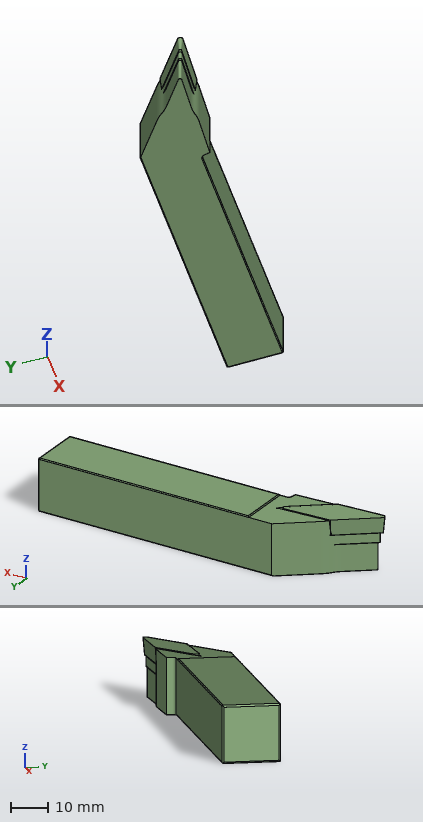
import cadquery as cq
import math

length = 98.3
shank_size = 16.0
shank_start_x = 31.3
long_edge_chamfer = 0.3
end_chamfer = 0.5

head_drop = 0.3
head_end_x = 27.9
heel_blend_x = 28.2
heel_blend_y = -0.8
heel_blend_end_x = 28.9

insert_width = 9.5
insert_thickness = 4.8
relief_angle = 5.0
nose_radius = 0.8
nose_centre_y = -3.0
front_edge_angle = 3.0
point_angle = 35.0
side_edge_angle = front_edge_angle + point_angle

seat_thickness = 2.95
seat_inset = 0.6
pedestal_inset = 0.8
support_nose_radius = 0.5
blend_start = 13.6
blend_length = 5.3

insert_bottom_z = shank_size - insert_thickness
seat_bottom_z = insert_bottom_z - seat_thickness
head_top_z = shank_size - head_drop
rhombus_side = insert_width / math.sin(math.radians(point_angle))
axis_angle = math.radians(front_edge_angle + point_angle / 2)
half_point = math.radians(point_angle / 2)
nose_distance = nose_radius / math.sin(half_point)
apex_x = nose_radius - nose_distance * math.cos(axis_angle)
apex_y = nose_centre_y - nose_distance * math.sin(axis_angle)


def front_point(along, inset=0.0):
    """Point at a distance along the front cutting edge, moved inward by inset."""
    angle = math.radians(front_edge_angle)
    return (
        apex_x + along * math.cos(angle) - inset * math.sin(angle),
        apex_y + along * math.sin(angle) + inset * math.cos(angle),
    )


def side_point(along, inset=0.0):
    """Point at a distance along the side cutting edge, moved inward by inset."""
    angle = math.radians(side_edge_angle)
    return (
        apex_x + along * math.cos(angle) + inset * math.sin(angle),
        apex_y + along * math.sin(angle) - inset * math.cos(angle),
    )


def axis_point(distance):
    """Point on the rhombus axis at a distance from the sharp point."""
    return (
        apex_x + distance * math.cos(axis_angle),
        apex_y + distance * math.sin(axis_angle),
    )


def nose(radius, inset):
    """Start, middle and end of a nose arc, from the side edge to the front edge."""
    tangent_distance = (inset + radius) / math.tan(half_point)
    middle_distance = (inset + radius) / math.sin(half_point) - radius
    return (
        side_point(tangent_distance, inset),
        axis_point(middle_distance),
        front_point(tangent_distance, inset),
    )


def rounded_rhombus(radius, inset, z):
    """Insert outline, shrunk by inset, with both sharp corners rounded."""
    start, middle, end = nose(radius, inset)
    corner_along = rhombus_side - inset * math.tan(half_point)
    centre = axis_point(rhombus_side * math.cos(half_point))

    def opposite(point):
        return (2 * centre[0] - point[0], 2 * centre[1] - point[1])

    return (
        cq.Workplane("XY", origin=(0, 0, z))
        .moveTo(*start)
        .threePointArc(middle, end)
        .lineTo(*front_point(corner_along, inset))
        .lineTo(*opposite(start))
        .threePointArc(opposite(middle), opposite(end))
        .lineTo(*side_point(corner_along, inset))
        .close()
    )


def make_blank():
    """Shank and head outline, including the narrower pedestal at the point."""
    start, middle, end = nose(support_nose_radius, pedestal_inset)
    blend_middle = blend_start + blend_length / 2
    blend_end = blend_start + blend_length
    edge_angle = math.radians(front_edge_angle)
    side_end = (shank_size - apex_y) / math.sin(math.radians(side_edge_angle))
    front_end = (head_end_x - apex_x) / math.cos(edge_angle)
    outline = (
        cq.Workplane("XY")
        .moveTo(*side_point(side_end))
        .lineTo(*side_point(blend_end))
        .tangentArcPoint(side_point(blend_middle, pedestal_inset / 2), relative=False)
        .tangentArcPoint(side_point(blend_start, pedestal_inset), relative=False)
        .lineTo(*start)
        .threePointArc(middle, end)
        .lineTo(*front_point(blend_start, pedestal_inset))
        .tangentArcPoint(front_point(blend_middle, pedestal_inset / 2), relative=False)
        .tangentArcPoint(front_point(blend_end), relative=False)
        .lineTo(*front_point(front_end))
        .lineTo(heel_blend_x, heel_blend_y)
        .tangentArcPoint((heel_blend_end_x, 0), relative=False)
        .lineTo(length, 0)
        .lineTo(length, shank_size)
        .close()
    )
    return outline.extrude(shank_size).faces(">X").edges().chamfer(end_chamfer)


def corner_cutter(y, z, start_x):
    """Bar that chamfers one long shank edge from start_x to the +X end."""
    return (
        cq.Workplane("YZ", origin=(start_x, y, z))
        .polyline([
            (-long_edge_chamfer, 0),
            (0, -long_edge_chamfer),
            (long_edge_chamfer, 0),
            (0, long_edge_chamfer),
        ])
        .close()
        .extrude(length - start_x)
    )


def head_top_cutter():
    """Material above the head, ending in the slope up to the shank."""
    depth = 3 * shank_size
    return (
        cq.Workplane("XZ", origin=(0, depth / 2, 0))
        .moveTo(0, head_top_z)
        .lineTo(shank_start_x, head_top_z)
        .lineTo(shank_start_x + head_drop, shank_size)
        .lineTo(0, shank_size)
        .close()
        .extrude(depth)
    )


def insert_pocket():
    """Sharp-cornered recess with walls that match the insert's relief."""
    return (
        cq.Workplane("XY", origin=(0, 0, shank_size))
        .polyline([
            front_point(0),
            front_point(rhombus_side),
            axis_point(2 * rhombus_side * math.cos(half_point)),
            side_point(rhombus_side),
        ])
        .close()
        .extrude(-insert_thickness, taper=relief_angle)
    )


def make_holder():
    holder = make_blank()
    for z in (0, shank_size):
        holder = holder.cut(corner_cutter(0, z, heel_blend_end_x))
        holder = holder.cut(corner_cutter(shank_size, z, 0))
    holder = holder.cut(head_top_cutter())
    seat = rounded_rhombus(support_nose_radius, seat_inset, seat_bottom_z).extrude(seat_thickness)
    return holder.union(seat).cut(insert_pocket())


def make_insert():
    outline = rounded_rhombus(nose_radius, 0, shank_size)
    return outline.extrude(-insert_thickness, taper=relief_angle)


holder = make_holder()
cutting_insert = make_insert()
result = cq.Compound.makeCompound([holder.solids().val(), cutting_insert.val()])